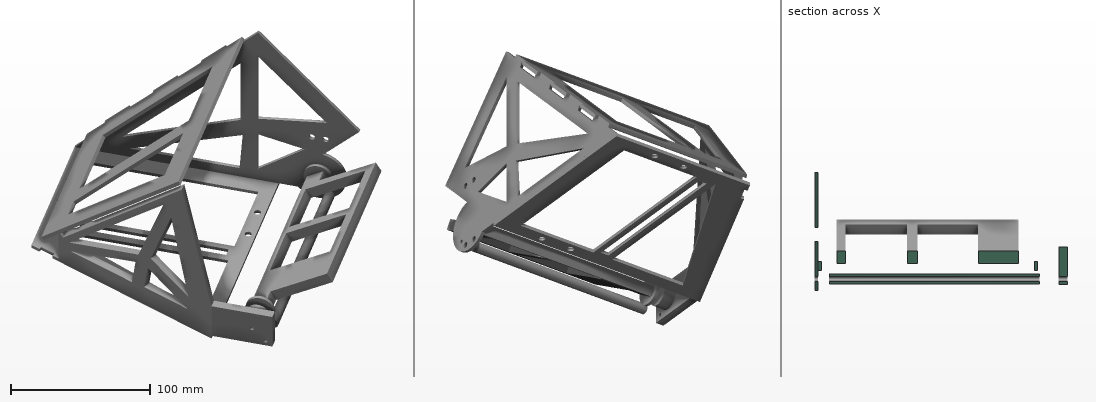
import cadquery as cq
import math

sheet = 2.5
root2 = math.sqrt(2)
deck_rise = 2.3
finger = 25.3
tab_count = 3
finger_row = (2 * tab_count - 1) * finger
far_y = 181.5
deck_clearance = 3.5
side_inner_y = far_y - sheet

base_length = 152.0
base_short_side_y = 64.2
base_window_x = (12.8, 140.7)
base_window_y = (102.0, 165.8)
base_triangle_top_y = 85.3
base_triangle_tip_y = 23.3
base_slot_x = (16.0, 137.7)
base_slot_y = (91.0, 97.5)
base_hole_d = 5.0
base_holes_x = (6.7, 146.5)
base_holes_y = (118.0, 143.2)

wall_t = 6.0
skew_length = math.hypot(base_length, base_short_side_y)
skew_cos = base_length / skew_length
end_finger = 12.0
finger_start = (skew_length - finger_row) / 2
wall_start_x = 22.8
wall_post_x = 24.2
wall_peak_x = 127.0
bracket_height = 30.0
bracket_end_x = 197.5
bracket_t = wall_t / skew_cos
boss_d = 18.1
boss_end_y = 16.3
bearing_hole_d = 3.0
tube_hole_d = 3.0
wall_windows = [
    [(32.0, 22.5), (111.4, 101.5), (90.5, 43.7)],
    [(118.0, 93.5), (132.5, 28.0), (100.7, 45.8)],
    [(33.3, 15.0), (88.0, 35.5), (84.9, 15.0)],
    [(98.1, 35.8), (131.5, 16.3), (95.0, 16.3)],
]

axis_x = 182.0
axis_z = 16.0
disc_r = 20.5
side_peak_x = 136.7
side_corner_x = 212.3
side_windows = [
    [(35.8, 20.0), (123.7, 107.7), (123.7, 55.0)],
    [(136.5, 117.2), (187.9, 66.5), (136.5, 59.0)],
    [(41.0, 10.2), (125.3, 41.5), (123.0, 10.2)],
    [(136.5, 44.6), (171.5, 38.4), (136.5, 12.5)],
]
side_hole_d = 4.7
side_hole_dx = 5.0
side_hole_rises = (34.9, -14.9)
side_notch_x = 28.0

deck_start_x = 10.5
deck_length = 163.5
deck_t = 2.8
deck_tab = 3.0
deck_window_s = (24.0, 139.5)
deck_window_y = (100.2, 163.5)
deck_low_window_top_y = 85.3
deck_low_window_y = (70.0, 36.3)

pedal_angle = 31.5
pedal_t = 8.1
hub_half_width = 7.2
pedal_end_x = 232.5
hub_y = (24.2, 176.5)
pedal_y = (35.3, 165.8)
pedal_windows_y = ((64.5, 108.0), (115.3, 159.3))
pedal_window_r = (-2.8, 49.8)
flange_d = 21.6
flange_t = 2.5
tube_d = 7.7
tube_y = (20.2, 171.4)
tube_x = 192.3
tube_z = 6.7


def prism_xz(points, y_start, y_end):
    """Outline given as (x, z), extruded from y_start to y_end."""
    return cq.Workplane("XZ", origin=(0, y_start, 0)).polyline(points).close().extrude(y_start - y_end)


def rod(x, z, diameter, y_start, y_end):
    """Cylinder along Y."""
    return cq.Workplane("XZ", origin=(x, y_start, z)).circle(diameter / 2).extrude(y_start - y_end)


def block(x_range, y_range, z_range):
    """Box between the given limits."""
    size = [r[1] - r[0] for r in (x_range, y_range, z_range)]
    corner = (x_range[0], y_range[0], z_range[0])
    return cq.Workplane().box(*size, centered=False).translate(corner)


def on_deck_line(x):
    """Point (x, z) on the underside line of the deck."""
    return (x, x + deck_rise)


wall_face = cq.Plane(
    origin=(0, base_short_side_y, 0),
    xDir=(base_length, -base_short_side_y, 0),
    normal=(-base_short_side_y, -base_length, 0),
)


def wall_prism(points, thickness):
    """Outline on the outer wall face, extruded inwards."""
    return cq.Workplane(wall_face).polyline(points).close().extrude(-thickness)


def wall_fingers(spans):
    """Blocks one sheet deep on the outer wall face, within the base thickness."""
    return [wall_prism([(a, 0), (b, 0), (b, sheet), (a, sheet)], sheet) for a, b in spans]


first_notch = (finger_start - end_finger, finger_start)
finger_spans = [
    (finger_start + finger, finger_start + 2 * finger),
    (finger_start + 3 * finger, finger_start + 4 * finger),
    (finger_start + finger_row, finger_start + finger_row + end_finger),
]


def make_base():
    """Floor plate with a skewed edge, two windows, a slot and four holes."""
    outline = [(0, far_y), (0, base_short_side_y), (base_length, 0), (base_length, far_y)]
    base = cq.Workplane().polyline(outline).close().extrude(sheet)
    base = base.cut(block(base_window_x, base_window_y, (0, sheet)))
    base = base.cut(block(base_slot_x, base_slot_y, (0, sheet)))
    left, right = base_window_x
    triangle = [(left, base_triangle_top_y), (right, base_triangle_top_y), (right, base_triangle_tip_y)]
    base = base.cut(cq.Workplane().polyline(triangle).close().extrude(sheet))
    holes = [(x, y) for x in base_holes_x for y in base_holes_y]
    base = base.cut(cq.Workplane().pushPoints(holes).circle(base_hole_d / 2).extrude(sheet))
    for notch in wall_fingers([first_notch] + finger_spans):
        base = base.cut(notch)
    return base


def make_wall():
    """Skewed wall with its windows and fingers, the bracket and the bearing boss."""
    start = wall_start_x / skew_cos
    tall = wall_peak_x + deck_rise
    beyond = skew_length + wall_t
    wall = wall_prism([(start, sheet), (start, tall), (beyond, tall), (beyond, sheet)], wall_t)

    step = deck_clearance / root2
    post_x, post_z = on_deck_line(wall_post_x)
    profile = [
        (0, 0),
        on_deck_line(0),
        (post_x, post_z),
        (post_x + step, post_z - step),
        (wall_peak_x, wall_peak_x + deck_rise - deck_clearance * root2),
        (base_length, bracket_height),
        (base_length, 0),
    ]
    wall = wall.intersect(prism_xz(profile, 0, far_y))
    for corners in wall_windows:
        wall = wall.cut(wall_prism([(x / skew_cos, z) for x, z in corners], wall_t))
    for part in wall_fingers(finger_spans):
        wall = wall.union(part)

    wall = wall.union(block((base_length, bracket_end_x), (0, bracket_t), (sheet, bracket_height)))
    wall = wall.union(rod(axis_x, axis_z, boss_d, bracket_t, boss_end_y))
    wall = wall.cut(rod(axis_x, axis_z, bearing_hole_d, 0, boss_end_y))
    return wall.cut(rod(tube_x, tube_z, tube_hole_d, 0, boss_end_y))


def make_side_plate():
    """Upright far side with truss windows and a disc around the pedal axis."""
    peak = on_deck_line(side_peak_x)
    corner = (side_corner_x, peak[1] - (side_corner_x - side_peak_x))
    outline = [
        on_deck_line(sheet - deck_rise),
        peak,
        corner,
        (axis_x, corner[1] - (side_corner_x - axis_x)),
        (axis_x, sheet),
    ]
    plate = prism_xz(outline, side_inner_y, far_y)
    plate = plate.union(rod(axis_x, axis_z, 2 * disc_r, side_inner_y, far_y))
    for corners in side_windows:
        plate = plate.cut(prism_xz(corners, side_inner_y, far_y))

    step = deck_clearance / root2
    run = finger / root2
    for i in range(tab_count):
        x, z = on_deck_line(side_notch_x + 2 * i * run)
        notch = [(x, z), (x + run, z + run), (x + run + step, z + run - step), (x + step, z - step)]
        plate = plate.cut(prism_xz(notch, side_inner_y, far_y))

    for rise in side_hole_rises:
        for side in (-1, 1):
            hole = rod(axis_x + side * side_hole_dx, axis_z + rise, side_hole_d, side_inner_y, far_y)
            plate = plate.cut(hole)
    return plate.cut(rod(tube_x, tube_z, tube_hole_d, side_inner_y, far_y))


def make_deck():
    """Sloping panel with two windows and tabs over the side plate."""
    start_x, start_z = on_deck_line(deck_start_x)
    plane = cq.Plane(origin=(start_x, 0, start_z), xDir=(1, 0, 1), normal=(-1, 0, 1))

    def sheet_piece(points):
        """Outline given as (distance up the slope, y), as thick as the deck."""
        return cq.Workplane(plane).polyline(points).close().extrude(deck_t)

    deck = sheet_piece([(0, 0), (deck_length, 0), (deck_length, far_y), (0, far_y)])
    tab_start = (deck_length - finger_row) / 2
    for i in range(tab_count):
        a = tab_start + 2 * i * finger
        b = a + finger
        deck = deck.union(sheet_piece([(a, far_y), (b, far_y), (b, far_y + deck_tab), (a, far_y + deck_tab)]))

    near, far = deck_window_s
    low, high = deck_window_y
    deck = deck.cut(sheet_piece([(near, low), (far, low), (far, high), (near, high)]))
    low_near, low_far = deck_low_window_y
    top = deck_low_window_top_y
    deck = deck.cut(sheet_piece([(near, low_near), (far, low_far), (far, top), (near, top)]))

    beyond = [(0, base_short_side_y), (base_length, 0), (base_length, -far_y), (0, -far_y)]
    return deck.cut(cq.Workplane().polyline(beyond).close().extrude(far_y))


def make_pedal():
    """Tilted slab with two windows, end flanges and a tube below it."""
    def slab(r_range, y_range):
        """Piece of the tilted slab, r_range measured from the axis."""
        bar = block(r_range, y_range, (-pedal_t / 2, pedal_t / 2))
        bar = bar.rotate((0, 0, 0), (0, 1, 0), -pedal_angle)
        return bar.translate((axis_x, 0, axis_z))

    angle = math.radians(pedal_angle)
    reach = (pedal_end_x - axis_x - pedal_t / 2 * math.sin(angle)) / math.cos(angle)
    pedal = slab((-hub_half_width, hub_half_width), hub_y)
    pedal = pedal.union(slab((-hub_half_width, reach), pedal_y))
    for window_y in pedal_windows_y:
        pedal = pedal.cut(slab(pedal_window_r, window_y))
    pedal = pedal.union(rod(axis_x, axis_z, flange_d, hub_y[0] - flange_t, hub_y[0]))
    pedal = pedal.union(rod(axis_x, axis_z, flange_d, hub_y[1], hub_y[1] + flange_t))
    pedal = pedal.union(rod(tube_x, tube_z, tube_d, *tube_y))
    return pedal.cut(rod(tube_x, tube_z, tube_hole_d, *tube_y))


base = make_base()
wall = make_wall()
side_plate = make_side_plate()
deck = make_deck()
pedal = make_pedal()
result = cq.Compound.makeCompound([
    base.val(),
    wall.val(),
    side_plate.val(),
    deck.val(),
    pedal.val(),
])